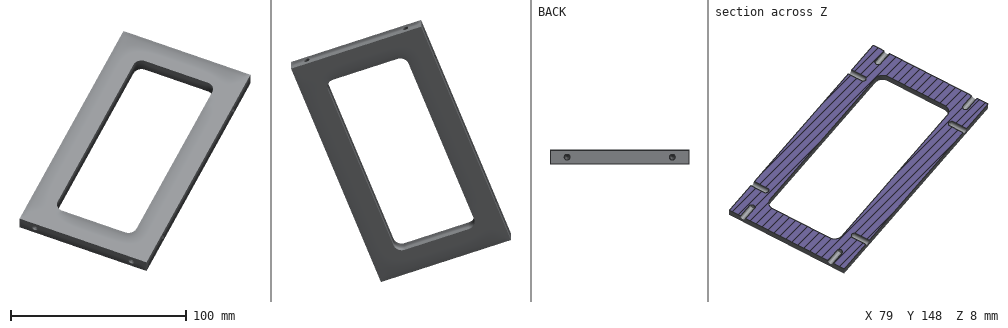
import cadquery as cq
import math

width = 79.0
length = 148.0
thickness = 8.0

border = 15.0
corner_radius = 5.0

hole_diameter = 3.3
hole_depth = 10.0
drill_tip_angle = 118.0
end_hole_spacing = 60.0
side_hole_spacing = 100.0


def make_frame():
    """Rectangular plate with a round-cornered through window."""
    window = (
        cq.Workplane("XY")
        .box(width - 2 * border, length - 2 * border, thickness)
        .edges("|Z")
        .fillet(corner_radius)
    )
    return cq.Workplane("XY").box(width, length, thickness).cut(window)


def make_drill():
    """Drilled hole with a conical bottom, starting at the origin and running along +Y."""
    radius = hole_diameter / 2
    tip_length = radius / math.tan(math.radians(drill_tip_angle / 2))
    return (
        cq.Workplane("XY")
        .lineTo(radius, 0)
        .lineTo(radius, hole_depth)
        .lineTo(0, hole_depth + tip_length)
        .close()
        .revolve(360, (0, 0, 0), (0, 1, 0))
    )


def drill_edge_pair(body, edge_distance, spacing, turn):
    """Drill two holes into the edge reached by turning the -Y edge about Z."""
    for offset in (-spacing / 2, spacing / 2):
        drill = make_drill().translate((offset, -edge_distance, 0))
        body = body.cut(drill.rotate((0, 0, 0), (0, 0, 1), turn))
    return body


result = make_frame()

for turn in (0, 180):
    result = drill_edge_pair(result, length / 2, end_hole_spacing, turn)

for turn in (-90, 90):
    result = drill_edge_pair(result, width / 2, side_hole_spacing, turn)